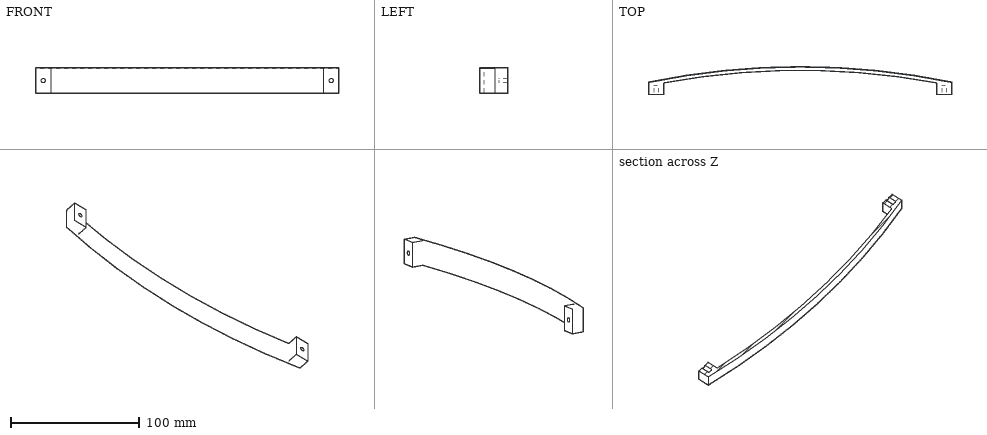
import cadquery as cq

length = 236.0
depth = 22.0
height = 20.0
foot_width = 11.8
foot_outer_depth = 10.0
bar_thickness = 3.0
edge_radius = 0.5
screw_hole_diameter = 3.3
screw_hole_depth = 7.0

half_length = length / 2
rise = depth - foot_outer_depth
outer_radius = (half_length**2 + rise**2) / (2 * rise)
bow_center_y = depth - outer_radius
inner_radius = outer_radius - bar_thickness
foot_inner_x = half_length - foot_width
inner_end_y = bow_center_y + (inner_radius**2 - foot_inner_x**2) ** 0.5
foot_center_x = half_length - foot_width / 2


def make_body():
    """Bowed bar with a square foot at each end, centered on X and Z."""
    profile = (
        cq.Workplane("XY")
        .workplane(offset=-height / 2)
        .moveTo(-half_length, 0)
        .lineTo(-half_length, foot_outer_depth)
        .threePointArc((0, depth), (half_length, foot_outer_depth))
        .lineTo(half_length, 0)
        .lineTo(foot_inner_x, 0)
        .lineTo(foot_inner_x, inner_end_y)
        .threePointArc((0, depth - bar_thickness), (-foot_inner_x, inner_end_y))
        .lineTo(-foot_inner_x, 0)
        .close()
    )
    return profile.extrude(height)


def round_outer_edges(body):
    """Trim the body to a round-edged disc that carries the outer bow."""
    disc = cq.Workplane("XY").center(0, bow_center_y).circle(outer_radius).extrude(height / 2, both=True)
    return body.intersect(disc.edges().fillet(edge_radius))


def round_inner_edges(body):
    """Round the edges around the inner bowed face, including its corners with the feet."""
    span = foot_inner_x + edge_radius / 2
    inner_face_region = cq.selectors.BoxSelector(
        (-span, inner_end_y - edge_radius / 2, -height),
        (span, depth - bar_thickness + edge_radius / 2, height),
        boundingbox=True,
    )
    return body.edges(inner_face_region).fillet(edge_radius)


def round_foot_corners(body):
    """Round the four outer corners of the feet along Y."""
    return body.faces("<X or >X").edges("|Y").fillet(edge_radius)


def cut_screw_holes(body):
    """Blind screw hole in the mounting face of each foot."""
    for side in (-1, 1):
        hole = (
            cq.Workplane("XZ")
            .center(side * foot_center_x, 0)
            .circle(screw_hole_diameter / 2)
            .extrude(-screw_hole_depth)
        )
        body = body.cut(hole)
    return body


result = make_body()
result = round_foot_corners(result)
result = round_inner_edges(result)
result = round_outer_edges(result)
result = cut_screw_holes(result)